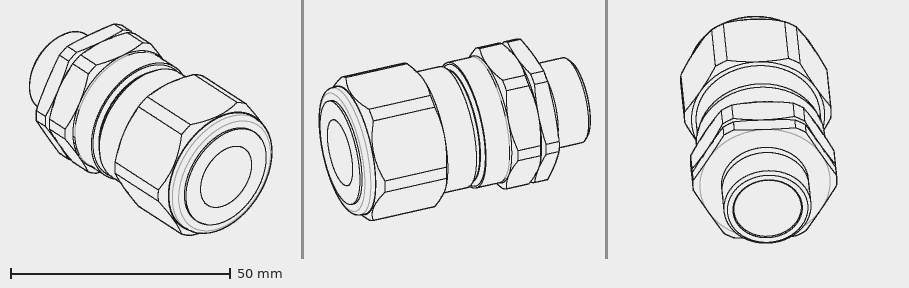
import cadquery as cq
import math


length = 57.95
thread_end = 8.2
relief_start = 9.35
relief_end = 9.55
lock_nut_start = 10.3
body_nut_start = 14.3
body_nut_end = 21.7
collar_start = 22.15
collar_end = 27.95
groove_start = 28.7
groove_end = 28.85
sleeve_start = 30.1
cap_nut_start = 37.55
cap_nut_end = 55.2
rim_end = 57.4

thread_radius = 9.95
relief_radius = 8.7
relief_shoulder_radius = thread_radius
collar_radius = 14.7
collar_end_radius = 14.25
groove_radius = 13.15
sleeve_radius = 14.2
rim_radius = 14.9
seal_radius = 12.1
bore_radius = 7.7

thread_chamfer = 0.75
bore_chamfer = 0.25
rim_fillet = 1.05

small_hex_apothem = 14.9
small_hex_corner_radius = 16.45
cap_hex_apothem = 15.25
cap_hex_corner_diameter = 33.55
cap_hex_corner_radius = cap_hex_corner_diameter / 2

lock_nut_front_chamfer = 0.3
lock_nut_back_chamfer = 0.45
body_nut_chamfer = 0.9
cap_nut_front_chamfer = 1.0
cap_nut_back_chamfer = 1.55
cap_nut_back_radius = 15.05


def turned_core():
    """Everything round: thread, relief, collar, groove, sleeve, rim and seal."""
    blend_length = collar_start - body_nut_end
    blend_drop = small_hex_apothem - collar_radius
    blend_radius = (blend_length**2 + blend_drop**2) / (2 * blend_drop)
    half_angle = math.asin(blend_length / blend_radius) / 2
    blend_mid = (
        collar_start - blend_radius * math.sin(half_angle),
        collar_radius + blend_radius * (1 - math.cos(half_angle)),
    )
    fillet_mid = rim_fillet * (1 - math.sqrt(0.5))
    profile = (
        cq.Workplane("XY")
        .moveTo(0, 0)
        .lineTo(0, thread_radius - thread_chamfer)
        .lineTo(thread_chamfer, thread_radius)
        .lineTo(thread_end, thread_radius)
        .lineTo(relief_start, relief_radius)
        .lineTo(relief_end, relief_radius)
        .lineTo(lock_nut_start, relief_shoulder_radius)
        .lineTo(lock_nut_start, small_hex_apothem)
        .lineTo(body_nut_end, small_hex_apothem)
        .threePointArc(blend_mid, (collar_start, collar_radius))
        .lineTo(collar_end, collar_radius)
        .lineTo(collar_end, collar_end_radius)
        .lineTo(groove_start, groove_radius)
        .lineTo(groove_end, groove_radius)
        .lineTo(sleeve_start, sleeve_radius)
        .lineTo(cap_nut_start, sleeve_radius)
        .lineTo(cap_nut_start, rim_radius)
        .lineTo(rim_end - rim_fillet, rim_radius)
        .threePointArc(
            (rim_end - fillet_mid, rim_radius - fillet_mid),
            (rim_end, rim_radius - rim_fillet),
        )
        .lineTo(rim_end, seal_radius)
        .lineTo(length, seal_radius)
        .lineTo(length, 0)
        .close()
    )
    return profile.revolve(360, (0, 0, 0), (1, 0, 0))


def hex_nut(start, end, apothem, corner_radius, front_chamfer, back_chamfer, back_radius):
    """Hexagon with flats facing +Z and -Z, its corners turned down and both ends coned."""
    corner_to_corner = 2 * apothem / math.cos(math.pi / 6)
    prism = (
        cq.Workplane("YZ")
        .workplane(offset=start)
        .polygon(6, corner_to_corner)
        .extrude(end - start)
    )
    turned_blank = (
        cq.Workplane("XY")
        .moveTo(start, 0)
        .lineTo(start, apothem)
        .lineTo(start + front_chamfer, corner_radius)
        .lineTo(end - back_chamfer, corner_radius)
        .lineTo(end, back_radius)
        .lineTo(end, 0)
        .close()
        .revolve(360, (0, 0, 0), (1, 0, 0))
    )
    return prism.intersect(turned_blank)


def bore():
    """Through bore, chamfered at the threaded end."""
    mouth_radius = bore_radius + bore_chamfer
    profile = (
        cq.Workplane("XY")
        .moveTo(0, 0)
        .lineTo(0, mouth_radius)
        .lineTo(bore_chamfer, bore_radius)
        .lineTo(length, bore_radius)
        .lineTo(length, 0)
        .close()
    )
    return profile.revolve(360, (0, 0, 0), (1, 0, 0))


lock_nut = hex_nut(
    lock_nut_start,
    body_nut_start,
    small_hex_apothem,
    small_hex_corner_radius,
    lock_nut_front_chamfer,
    lock_nut_back_chamfer,
    small_hex_apothem,
)
body_nut = hex_nut(
    body_nut_start,
    body_nut_end,
    small_hex_apothem,
    small_hex_corner_radius,
    body_nut_chamfer,
    body_nut_chamfer,
    small_hex_apothem,
)
cap_nut = hex_nut(
    cap_nut_start,
    cap_nut_end,
    cap_hex_apothem,
    cap_hex_corner_radius,
    cap_nut_front_chamfer,
    cap_nut_back_chamfer,
    cap_nut_back_radius,
)

result = turned_core().union(lock_nut).union(body_nut).union(cap_nut).cut(bore())